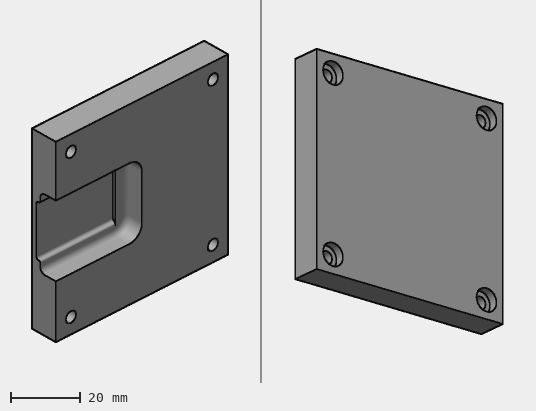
import cadquery as cq
import math

PLATE_SIDE = 68.27
PLATE_THICKNESS = 10.0
EDGE_Y = -PLATE_SIDE / 2

HOLE_INSET = 6.0
HOLE_DIAMETER = 4.0
COUNTERBORE_DIAMETER = 7.25
COUNTERBORE_DEPTH = 3.0

POCKET_CENTER_Z = 0.35
POCKET_WIDTH = 27.5
POCKET_DEPTH = 6.5
POCKET_LENGTH = PLATE_SIDE / 2
POCKET_CORNER_RADIUS = 5.0
POCKET_FLOOR_FILLET = 2.0

SLOT_WIDTH = 19.8
SLOT_DEPTH = 1.6
SLOT_BOTTOM_FILLET = 0.8
SLOT_LIP_RADIUS = 0.6
SLOT_LENGTH = POCKET_LENGTH - (POCKET_WIDTH - SLOT_WIDTH) / 2
SLOT_END_RADIUS = 2.4

POCKET_FLOOR_X = PLATE_THICKNESS - POCKET_DEPTH
SLOT_FLOOR_X = POCKET_FLOOR_X - SLOT_DEPTH
OVERRUN = 10.0


def make_plate():
    return cq.Workplane("XY").box(
        PLATE_THICKNESS, PLATE_SIDE, PLATE_SIDE, centered=(False, True, True)
    )


def make_screw_holes():
    pitch = PLATE_SIDE - 2 * HOLE_INSET
    layout = cq.Workplane("YZ").rarray(pitch, pitch, 2, 2)
    shanks = layout.circle(HOLE_DIAMETER / 2).extrude(PLATE_THICKNESS)
    heads = layout.circle(COUNTERBORE_DIAMETER / 2).extrude(COUNTERBORE_DEPTH)
    return shanks.union(heads)


def make_pocket():
    length = POCKET_LENGTH + OVERRUN
    return (
        cq.Workplane("XY")
        .box(POCKET_DEPTH, length, POCKET_WIDTH, centered=(False, False, True))
        .translate((POCKET_FLOOR_X, EDGE_Y - OVERRUN, 0))
        .edges("|X and >Y")
        .fillet(POCKET_CORNER_RADIUS)
        .faces("<X")
        .edges("not <Y")
        .fillet(POCKET_FLOOR_FILLET)
    )


def make_slot():
    side = SLOT_WIDTH / 2
    fillet = SLOT_BOTTOM_FILLET
    lip = SLOT_LIP_RADIUS
    floor = SLOT_FLOOR_X
    top = POCKET_FLOOR_X

    section = (
        cq.Workplane("XZ", origin=(0, EDGE_Y - OVERRUN, 0))
        .moveTo(floor, fillet - side)
        .lineTo(floor, side - fillet)
        .radiusArc((floor + fillet, side), fillet)
        .lineTo(top - lip, side)
        .radiusArc((top, side + lip), -lip)
        .lineTo(top, -side - lip)
        .radiusArc((top - lip, -side), -lip)
        .lineTo(floor + fillet, -side)
        .radiusArc((floor, fillet - side), fillet)
        .close()
        .extrude(-(SLOT_LENGTH + OVERRUN))
    )

    end_y = EDGE_Y + SLOT_LENGTH
    end_lean = SLOT_END_RADIUS - math.sqrt(SLOT_END_RADIUS**2 - SLOT_DEPTH**2)
    profile = (
        cq.Workplane("XY")
        .moveTo(floor, EDGE_Y - OVERRUN)
        .lineTo(floor, end_y)
        .radiusArc((top, end_y - end_lean), SLOT_END_RADIUS)
        .lineTo(top, EDGE_Y - OVERRUN)
        .close()
        .extrude(POCKET_WIDTH / 2, both=True)
    )
    return section.intersect(profile)


def make_recess():
    return make_pocket().union(make_slot()).translate((0, 0, POCKET_CENTER_Z))


result = make_plate().cut(make_screw_holes()).cut(make_recess())